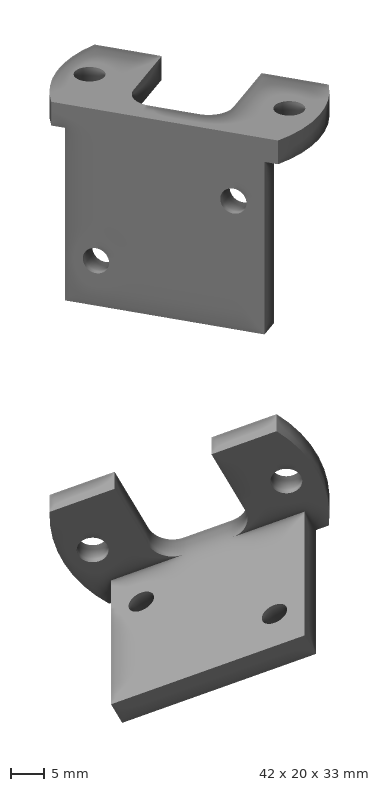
import cadquery as cq

flange_diameter = 42.0
depth = 20.0
height = 33.0
thickness = 4.0

front_y = -10.55
back_y = front_y + depth
slot_width = 16.0
slot_corner_radius = 4.0
flange_hole_diameter = 4.8
flange_hole_spacing = 32.0

plate_width = 32.0
plate_hole_diameter = 4.2
plate_hole_offset = 11.0
lower_hole_height = 7.55
upper_hole_height = 21.55


def make_flange():
    """Disc trimmed flat at front and back, with a slot and two mounting holes."""
    flange_bottom = height - thickness
    disc = (
        cq.Workplane("XY", origin=(0, 0, flange_bottom))
        .circle(flange_diameter / 2)
        .extrude(thickness)
    )
    trim = cq.Workplane("XY").box(
        flange_diameter, depth, height, centered=(True, False, False)
    ).translate((0, front_y, 0))

    slot_start = front_y + thickness
    slot = (
        cq.Workplane("XY")
        .box(slot_width, depth, height, centered=(True, False, False))
        .edges("|Z and <Y")
        .fillet(slot_corner_radius)
        .translate((0, slot_start, 0))
    )
    holes = (
        cq.Workplane("XY")
        .pushPoints([(side * flange_hole_spacing / 2, 0) for side in (-1, 1)])
        .circle(flange_hole_diameter / 2)
        .extrude(height)
    )
    return disc.intersect(trim).cut(slot).cut(holes)


def make_plate():
    """Upright plate with two diagonally placed through holes."""
    plate = cq.Workplane("XY").box(
        plate_width, thickness, height, centered=(True, False, False)
    ).translate((0, front_y, 0))
    holes = (
        cq.Workplane("XZ", origin=(0, front_y, 0))
        .pushPoints([
            (-plate_hole_offset, lower_hole_height),
            (plate_hole_offset, upper_hole_height),
        ])
        .circle(plate_hole_diameter / 2)
        .extrude(-thickness)
    )
    return plate.cut(holes)


result = make_flange().union(make_plate())